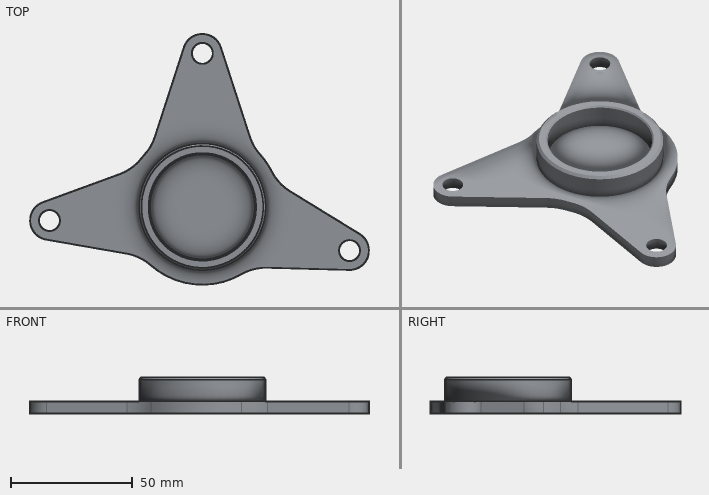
import cadquery as cq
import math

plate_thickness = 5.0
hub_radius = 32.0
arm_tip_radius = 8.0
hole_circle_radius = 63.0
hole_diameter = 8.5
blend_radius = 20.0

arms = [(-16.55, 15.0), (90.0, 18.0), (185.1, 15.0)]

total_height = 15.0
cup_outer_diameter = 52.0
cup_inner_diameter = 43.0
cup_floor_height = plate_thickness
outer_rim_chamfer = 1.0
inner_rim_chamfer = 0.6


def polar(radius, angle, origin=(0.0, 0.0)):
    """Point at a radius and an angle in degrees from an origin."""
    radians = math.radians(angle)
    return (origin[0] + radius * math.cos(radians), origin[1] + radius * math.sin(radians))


def hole_center(axis_angle):
    return polar(hole_circle_radius, axis_angle)


def arm_side(axis_angle, taper, side):
    """Points of one arm side, from the hub outwards, and the angle at which it leaves the hub.

    side is +1 for the counter-clockwise side of the arm and -1 for the clockwise side.
    The straight side is tangent to the round tip. A concave blend arc, tangent to the
    straight side and to the hub circle, joins the two.
    """
    normal_angle = axis_angle + side * (90.0 - taper)
    line_offset = arm_tip_radius + hole_circle_radius * math.sin(math.radians(taper))
    center_distance = hub_radius + blend_radius
    blend_sweep = math.degrees(math.acos((line_offset + blend_radius) / center_distance))
    hub_angle = normal_angle - side * blend_sweep

    blend_center = polar(center_distance, hub_angle)
    inward_angle = normal_angle + 180.0
    hub_end = polar(hub_radius, hub_angle)
    blend_middle = polar(blend_radius, inward_angle - side * blend_sweep / 2, blend_center)
    blend_end = polar(blend_radius, inward_angle, blend_center)
    tip_end = polar(arm_tip_radius, normal_angle, hole_center(axis_angle))
    return hub_angle, [hub_end, blend_middle, blend_end, tip_end]


def make_plate():
    """Three-armed plate, traced counter-clockwise round the hub."""
    start_sides = [arm_side(angle, taper, -1) for angle, taper in arms]
    end_sides = [arm_side(angle, taper, 1) for angle, taper in arms]
    next_start_angles = [side[0] for side in start_sides[1:]] + [start_sides[0][0] + 360.0]

    outline = cq.Workplane("XY").moveTo(*start_sides[0][1][0])
    for index, (axis_angle, _) in enumerate(arms):
        _, (_, blend_middle, blend_end, tip_start) = start_sides[index]
        outline = outline.threePointArc(blend_middle, blend_end).lineTo(*tip_start)

        leave_angle, (hub_end, blend_middle, blend_start, tip_end) = end_sides[index]
        tip = polar(hole_circle_radius + arm_tip_radius, axis_angle)
        outline = outline.threePointArc(tip, tip_end).lineTo(*blend_start)
        outline = outline.threePointArc(blend_middle, hub_end)

        arrive_angle = next_start_angles[index]
        hub_middle = polar(hub_radius, (leave_angle + arrive_angle) / 2)
        outline = outline.threePointArc(hub_middle, polar(hub_radius, arrive_angle))
    return outline.close().extrude(plate_thickness)


def drill_arm_holes(body):
    centers = [hole_center(axis_angle) for axis_angle, _ in arms]
    drills = cq.Workplane("XY").pushPoints(centers).circle(hole_diameter / 2).extrude(plate_thickness)
    return body.cut(drills)


def add_cup(body):
    """Round boss with a flat-floored recess and a chamfer on both edges of its rim."""
    boss = cq.Workplane("XY").circle(cup_outer_diameter / 2).extrude(total_height)
    boss = boss.faces(">Z").chamfer(outer_rim_chamfer)
    recess = (
        cq.Workplane("XY")
        .workplane(offset=cup_floor_height)
        .circle(cup_inner_diameter / 2)
        .extrude(total_height - cup_floor_height)
    )
    cup = body.union(boss).cut(recess)
    inner_rim = cup.faces(">Z").edges(cq.selectors.RadiusNthSelector(0))
    return inner_rim.chamfer(inner_rim_chamfer)


result = add_cup(drill_arm_holes(make_plate()))